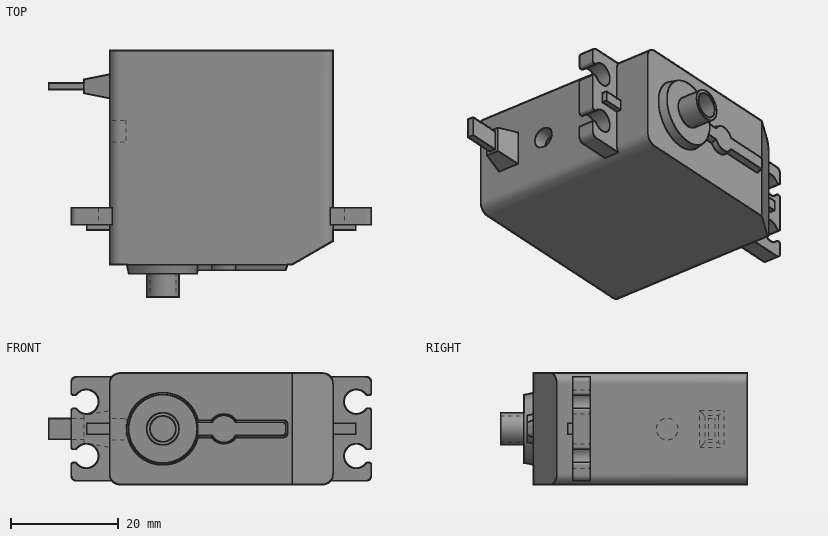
import cadquery as cq
import math


CASE_LENGTH = 41.5
CASE_DEPTH = 39.8
CASE_WIDTH = 20.75
CASE_EDGE_RADIUS = 2.0
BEVEL_LENGTH = 7.55
BEVEL_ANGLE = 30

EAR_LENGTH = 7.15
EAR_WIDTH = 19.4
EAR_THICKNESS = 3.2
EAR_SETBACK = 7.4
EAR_CORNER_RADIUS = 1.0
SCREW_HOLE_DIAMETER = 4.5
SCREW_HOLE_INSET = 2.8
SCREW_HOLE_OFFSET = 5.05
SCREW_SLOT_WIDTH = 2.4
SLOT_LIP_RADIUS = 0.5
RIB_LENGTH = 4.25
RIB_WIDTH = 2.05
RIB_HEIGHT = 0.95

TOTAL_DEPTH = 45.85
SHAFT_INSET = 9.9
SHAFT_DIAMETER = 6
BORE_DIAMETER = 4.8
COLLAR_BASE_RADIUS = 6.7
COLLAR_TOP_RADIUS = 6.35
COLLAR_HEIGHT = 1.75

STRIP_LENGTH = 23.2
STRIP_WIDTH = 3.25
STRIP_HEIGHT = 1.1
STRIP_CORNER_RADIUS = 0.9
STRIP_SLOPE_INSET = 0.4
PAD_DISTANCE = 11.35
PAD_RADIUS = 2.75
PAD_SLOPE_INSET = 0.25

CABLE_REACH = 11.35
CABLE_THICKNESS = 1.25
CABLE_WIDTH = 3.9
CABLE_FROM_BACK = 6.65
BOOT_LENGTH = 4.8
BOOT_BASE = (4.5, 6.85)
BOOT_TIP = (2.6, 5.05)
SIDE_HOLE_DIAMETER = 4.0
SIDE_HOLE_DEPTH = 3.0
SIDE_HOLE_FROM_BACK = 14.95

CASE_LEFT = -CASE_LENGTH / 2
CASE_RIGHT = CASE_LENGTH / 2
SHAFT_X = CASE_LEFT + SHAFT_INSET
RIB_OVERLAP = 1.2


def output_face(x=0, setback=0):
    """Sketch plane facing the output side (-Y): local x is X, local y is Z."""
    return cq.Workplane("XZ", origin=(x, setback, 0))


def taper(height, inset):
    return math.degrees(math.atan(inset / height))


def make_case():
    bevel_depth = BEVEL_LENGTH * math.tan(math.radians(BEVEL_ANGLE))
    block = cq.Workplane("XY").box(CASE_LENGTH, CASE_DEPTH, CASE_WIDTH, centered=(True, False, True))
    block = block.edges("|Y").fillet(CASE_EDGE_RADIUS)
    bevel = (
        cq.Workplane("XY")
        .moveTo(CASE_RIGHT - BEVEL_LENGTH, 0)
        .lineTo(CASE_RIGHT, 0)
        .lineTo(CASE_RIGHT, bevel_depth)
        .close()
        .extrude(CASE_WIDTH / 2, both=True)
    )
    return block.cut(bevel)


def make_right_ear():
    ear_end = CASE_RIGHT + EAR_LENGTH
    hole_x = ear_end - SCREW_HOLE_INSET
    back = EAR_SETBACK + EAR_THICKNESS
    plate_length = EAR_LENGTH + CASE_EDGE_RADIUS
    plate = (
        output_face(ear_end - plate_length / 2, back)
        .rect(plate_length, EAR_WIDTH)
        .extrude(EAR_THICKNESS)
        .edges("|Y and >X")
        .fillet(EAR_CORNER_RADIUS)
    )
    holes = [(hole_x, side * SCREW_HOLE_OFFSET) for side in (-1, 1)]
    slots = [(ear_end, z) for _, z in holes]
    plate = plate.cut(output_face(0, back).pushPoints(holes).circle(SCREW_HOLE_DIAMETER / 2).extrude(EAR_THICKNESS))
    plate = plate.cut(
        output_face(0, back).pushPoints(slots).rect(2 * SCREW_HOLE_INSET, SCREW_SLOT_WIDTH).extrude(EAR_THICKNESS)
    )
    half_slot = SCREW_SLOT_WIDTH / 2
    throat_x = hole_x + math.sqrt((SCREW_HOLE_DIAMETER / 2) ** 2 - half_slot**2)
    middle = EAR_SETBACK + EAR_THICKNESS / 2
    for _, hole_z in holes:
        for side in (-1, 1):
            for x in (throat_x, ear_end):
                corner = cq.selectors.NearestToPointSelector((x, middle, hole_z + side * half_slot))
                plate = plate.edges("|Y").edges(corner).fillet(SLOT_LIP_RADIUS)
    rib_length = RIB_LENGTH + RIB_OVERLAP
    rib = (
        output_face(CASE_RIGHT - RIB_OVERLAP + rib_length / 2, EAR_SETBACK)
        .rect(rib_length, RIB_WIDTH)
        .extrude(RIB_HEIGHT)
    )
    return plate.union(rib)


def make_collar_and_shaft():
    collar = (
        output_face(SHAFT_X)
        .circle(COLLAR_BASE_RADIUS)
        .extrude(COLLAR_HEIGHT, taper=taper(COLLAR_HEIGHT, COLLAR_BASE_RADIUS - COLLAR_TOP_RADIUS))
    )
    shaft = output_face(SHAFT_X).circle(SHAFT_DIAMETER / 2).extrude(TOTAL_DEPTH - CASE_DEPTH)
    return collar.union(shaft)


def make_bore():
    shaft_length = TOTAL_DEPTH - CASE_DEPTH - COLLAR_HEIGHT
    return output_face(SHAFT_X, -COLLAR_HEIGHT).circle(BORE_DIAMETER / 2).extrude(shaft_length)


def make_gear_cover():
    strip = (
        output_face(SHAFT_X + STRIP_LENGTH / 2)
        .sketch()
        .rect(STRIP_LENGTH, STRIP_WIDTH)
        .vertices()
        .fillet(STRIP_CORNER_RADIUS)
        .finalize()
        .extrude(STRIP_HEIGHT, taper=taper(STRIP_HEIGHT, STRIP_SLOPE_INSET))
    )
    pad = (
        output_face(SHAFT_X + PAD_DISTANCE)
        .circle(PAD_RADIUS)
        .extrude(STRIP_HEIGHT, taper=taper(STRIP_HEIGHT, PAD_SLOPE_INSET))
    )
    return strip.union(pad)


def left_face(from_back):
    """Sketch plane on the left end facing -X: local x is -Y, local y is Z."""
    origin = (CASE_LEFT, CASE_DEPTH - from_back, 0)
    return cq.Workplane(cq.Plane(origin=origin, xDir=(0, -1, 0), normal=(-1, 0, 0)))


def make_cable():
    boot = (
        left_face(CABLE_FROM_BACK)
        .rect(*BOOT_BASE)
        .workplane(offset=BOOT_LENGTH)
        .rect(*BOOT_TIP)
        .loft(ruled=True)
    )
    cable = left_face(CABLE_FROM_BACK).rect(CABLE_THICKNESS, CABLE_WIDTH).extrude(CABLE_REACH)
    return boot.union(cable)


def make_side_hole():
    return left_face(SIDE_HOLE_FROM_BACK).circle(SIDE_HOLE_DIAMETER / 2).extrude(-SIDE_HOLE_DEPTH)


right_ear = make_right_ear()
result = make_case()
for feature in (
    right_ear,
    right_ear.mirror("YZ"),
    make_gear_cover(),
    make_collar_and_shaft(),
    make_cable(),
):
    result = result.union(feature)
for opening in (make_bore(), make_side_hole()):
    result = result.cut(opening)